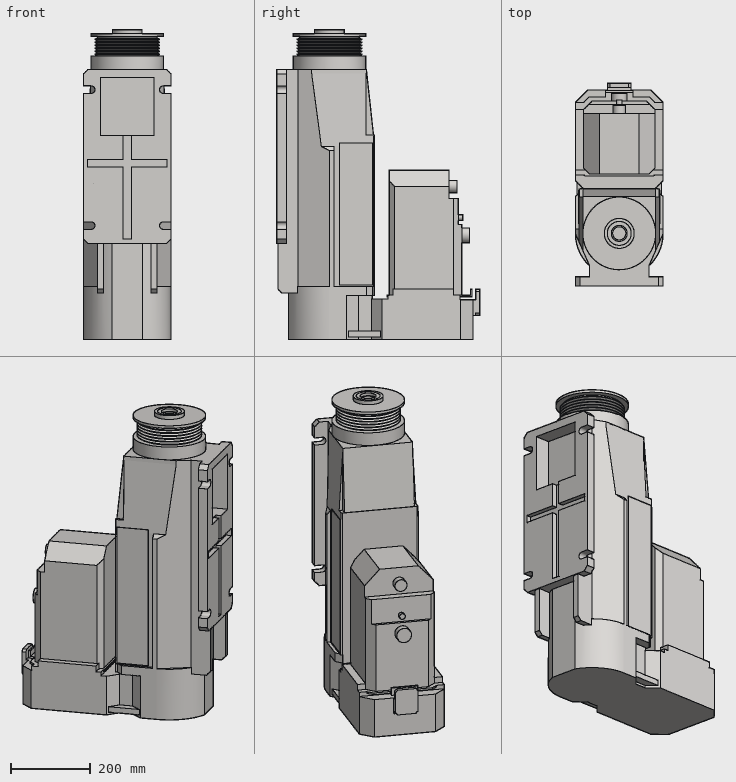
import cadquery as cq
import math


HALF_WIDTH = 110.0
TOTAL_HEIGHT = 775.0

PLATE_FACE_Y = -132.0
PLATE_THICK = 24.0
PLATE_BOTTOM_Z = 240.0
HOUSING_TOP_Z = 676.0
PLATE_CHAMFER = 12.0
PLATE_SLOT_Z = (285.0, 625.0)
PLATE_SLOT_RADIUS = 9.3
PLATE_SLOT_LENGTH = 20.0
POCKET_HALF_WIDTH = 67.0
POCKET_BOTTOM_Z = 510.0
POCKET_TOP_Z = 655.0
POCKET_DEPTH = 44.0
GROOVE_DEPTH = 14.0
UPRIGHT_GROOVE_HALF_WIDTH = 10.5
UPRIGHT_GROOVE_BOTTOM_Z = 252.0
CROSS_GROOVE_HALF_WIDTH = 100.0
CROSS_GROOVE_Z = 440.5
CROSS_GROOVE_HEIGHT = 19.0

NECK_HALF_WIDTH = 75.0
NECK_BACK_Y = -79.0
MOTOR_TOP_Z = 133.0
POST_BACK_Y = 11.5
POST_TOP_Z = 483.0
POST_SHOULDER_Z = 472.5
CORE_HALF_WIDTH = 101.0
CORE_BACK_Y = 112.0
CORE_CHAMFER = 5.0
TOP_HALF_WIDTH = 90.3
TAPER_TOP_Z = 665.0
TOP_BACK_Y = 92.5
BACK_SLOPE_BOTTOM_Y = 110.5
BACK_CUT_FRONT_Y = 91.0
BACK_CUT_BOTTOM_Z = 511.0
PANEL_PROUD = 0.7
PANEL_FRONT_Y = 25.0
PANEL_BOTTOM_Z = 136.0
PANEL_TOP_Z = 492.0

RIB_THICK = 16.0
RIB_FACE_Y = -129.0
RIB_BOTTOM_Z = 116.0
RIB_CHAMFER = 10.0

MOTOR_RADIUS = HALF_WIDTH
MOTOR_FLAT_HALF_WIDTH = 38.7
MOTOR_BACK_Y = 107.0
MOTOR_BACK_CHAMFER = 15.0
NECK_TOP_Z = 110.0
LOWER_BACK_Y = 43.0
LOWER_EDGE_CHAMFER = 4.0
LINK_HALF_WIDTH = 83.0
LINK_FRONT_Y = 72.0
FOOT_HALF_WIDTH = 106.0
FOOT_BOTTOM_Z = 6.5
FOOT_TOP_Z = 21.0

BASE_FRONT_Y = 132.0
BASE_FRONT_CHAMFER = HALF_WIDTH - LINK_HALF_WIDTH
BASE_BACK_Y = 359.0
BASE_BACK_CHAMFER = 31.0
BASE_REAR_TOP_Z = 100.0
BASE_FRONT_TOP_Z = 101.5
STEP_FRONT_Y = 146.0
STEP_BACK_Y = 327.0
STEP_TOP_Z = 111.0
SHOULDER_FRONT_Y = 159.0
SHOULDER_BACK_Y = 310.0
SHOULDER_TOP_Z = 126.0

SKIRT_HALF_WIDTH = 93.0
SKIRT_FRONT_Y = 143.5
SKIRT_BACK_Y = 341.0
SKIRT_FRONT_CHAMFER = 7.0
SKIRT_BACK_CHAMFER = 17.0
SKIRT_THICK = 4.5

CABINET_HALF_WIDTH = 89.0
CABINET_FRONT_Y = 149.0
CABINET_FRONT_CHAMFER = 14.0
CABINET_TOP_Z = 423.5
CABINET_EAVES_Z = 383.0
CABINET_RIDGE_HALF_WIDTH = 50.0
LID_BACK_Y = 299.5
REAR_PANEL_BACK_Y = 322.5
REAR_PANEL_TOP_Z = 353.0
REAR_BOX_BACK_Y = 331.0
REAR_BOX_TOP_Z = 288.0

GLANDS = (
    (15.5, 382.5, LID_BACK_Y, 319.5),
    (7.5, 305.0, REAR_PANEL_BACK_Y, 333.5),
    (19.0, 260.5, REAR_BOX_BACK_Y, 350.5),
)

BRACKET_HALF_WIDTH = 34.0
BRACKET_THICK = SKIRT_THICK
BRACKET_BACK_Y = 357.0
TAG_HALF_WIDTH = 29.5
TAG_FRONT_Y = 365.5
TAG_BACK_Y = 376.0
TAG_BOTTOM_Z = 60.0
TAG_CHAMFER = 6.0

COLLAR_RADIUS = 91.0
COLLAR_TOP_Z = 709.5
SHAFT_RADIUS = 30.0
CENTRE_BORE_RADIUS = 20.0
CENTRE_BORE_DEPTH = 7.0
SHAFT_BORE_RADIUS = 16.5
SHAFT_BORE_DEPTH = 40.0
HUB_RADIUS = 37.5
FLANGE_RADIUS = COLLAR_RADIUS
FLANGE_BOTTOM_Z = 758.0
FLANGE_TOP_Z = 765.0
RIB_COUNT = 6
RIB_PITCH = 7.5
RIB_CREST_RADIUS = 81.0
RIB_ROOT_RADIUS = 75.0
RIB_LAND = 1.0


def box(x0, x1, y0, y1, z0, z1):
    """Box given by its lower and upper limits along each axis."""
    return cq.Workplane("XY").box(x1 - x0, y1 - y0, z1 - z0, centered=False).translate((x0, y0, z0))


def centred_box(half_width, y0, y1, z0, z1):
    """Box symmetric about X = 0."""
    return box(-half_width, half_width, y0, y1, z0, z1)


def mirrored_prism(right_side, z0, z1):
    """Vertical prism from the +X half of its plan outline, mirrored about X = 0."""
    left_side = [(-x, y) for x, y in reversed(right_side)]
    return cq.Workplane("XY").workplane(offset=z0).polyline(right_side + left_side).close().extrude(z1 - z0)


def disc(radius, z0, z1):
    """Upright cylinder on the shaft axis."""
    return cq.Workplane("XY").workplane(offset=z0).circle(radius).extrude(z1 - z0)


def make_plate():
    plate_back_y = PLATE_FACE_Y + PLATE_THICK
    plate = centred_box(HALF_WIDTH, PLATE_FACE_Y, plate_back_y, PLATE_BOTTOM_Z, HOUSING_TOP_Z)
    plate = plate.edges("|Y").chamfer(PLATE_CHAMFER)
    slot_length = 2 * (PLATE_SLOT_LENGTH + PLATE_SLOT_RADIUS)
    for side in (-1, 1):
        for slot_z in PLATE_SLOT_Z:
            slot = (cq.Workplane("XZ", origin=(side * HALF_WIDTH, plate_back_y, slot_z))
                    .slot2D(slot_length, 2 * PLATE_SLOT_RADIUS).extrude(PLATE_THICK))
            plate = plate.cut(slot)
    return plate


def make_plate_recesses():
    """Deep pocket and the cross of shallow grooves in the plate face."""
    groove_back_y = PLATE_FACE_Y + GROOVE_DEPTH
    pocket = centred_box(POCKET_HALF_WIDTH, PLATE_FACE_Y, PLATE_FACE_Y + POCKET_DEPTH,
                         POCKET_BOTTOM_Z, POCKET_TOP_Z)
    upright = centred_box(UPRIGHT_GROOVE_HALF_WIDTH, PLATE_FACE_Y, groove_back_y,
                          UPRIGHT_GROOVE_BOTTOM_Z, POCKET_BOTTOM_Z)
    cross = centred_box(CROSS_GROOVE_HALF_WIDTH, PLATE_FACE_Y, groove_back_y,
                        CROSS_GROOVE_Z - CROSS_GROOVE_HEIGHT / 2, CROSS_GROOVE_Z + CROSS_GROOVE_HEIGHT / 2)
    return pocket.union(upright).union(cross)


def make_housing():
    """Gearbox housing: wide posts below, narrowing sides, cut back corners and sloped back above."""
    posts = mirrored_prism([(NECK_HALF_WIDTH, NECK_BACK_Y), (HALF_WIDTH, 0), (HALF_WIDTH, POST_BACK_Y)],
                           MOTOR_TOP_Z, POST_TOP_Z)
    post_bevel = [(CORE_HALF_WIDTH, POST_TOP_Z), (HALF_WIDTH, POST_TOP_Z), (HALF_WIDTH, POST_SHOULDER_Z)]
    for side in (-1, 1):
        bevel_waste = (cq.Workplane("XZ", origin=(0, POST_BACK_Y, 0))
                       .polyline([(side * x, z) for x, z in post_bevel])
                       .close().extrude(POST_BACK_Y - NECK_BACK_Y))
        posts = posts.cut(bevel_waste)
    core = mirrored_prism(
        [(NECK_HALF_WIDTH, NECK_BACK_Y), (HALF_WIDTH, 0), (HALF_WIDTH, CORE_BACK_Y - CORE_CHAMFER),
         (CORE_HALF_WIDTH - CORE_CHAMFER, CORE_BACK_Y)],
        MOTOR_TOP_Z, HOUSING_TOP_Z)
    taper = [(CORE_HALF_WIDTH, MOTOR_TOP_Z), (CORE_HALF_WIDTH, POST_TOP_Z),
             (TOP_HALF_WIDTH, TAPER_TOP_Z), (TOP_HALF_WIDTH, HOUSING_TOP_Z)]
    taper_outline = taper + [(-x, z) for x, z in reversed(taper)]
    taper_envelope = (cq.Workplane("XZ", origin=(0, CORE_BACK_Y, 0))
                      .polyline(taper_outline).close().extrude(CORE_BACK_Y - NECK_BACK_Y))
    core = core.intersect(taper_envelope)
    slope_waste = (cq.Workplane("YZ", origin=(-HALF_WIDTH, 0, 0))
                   .polyline([(CORE_BACK_Y, BACK_CUT_BOTTOM_Z), (CORE_BACK_Y, HOUSING_TOP_Z),
                              (TOP_BACK_Y, HOUSING_TOP_Z), (BACK_SLOPE_BOTTOM_Y, BACK_CUT_BOTTOM_Z)])
                   .close().extrude(2 * HALF_WIDTH))
    core = core.cut(slope_waste)
    for x0, x1 in ((-HALF_WIDTH, -TOP_HALF_WIDTH), (TOP_HALF_WIDTH, HALF_WIDTH)):
        core = core.cut(box(x0, x1, BACK_CUT_FRONT_Y, CORE_BACK_Y, BACK_CUT_BOTTOM_Z, HOUSING_TOP_Z))
    panels = centred_box(CORE_HALF_WIDTH + PANEL_PROUD, PANEL_FRONT_Y, CORE_BACK_Y - CORE_CHAMFER,
                         PANEL_BOTTOM_Z, PANEL_TOP_Z)
    neck = centred_box(NECK_HALF_WIDTH, PLATE_FACE_Y + PLATE_THICK, NECK_BACK_Y,
                       PLATE_BOTTOM_Z, HOUSING_TOP_Z)
    return core.union(posts).union(panels).union(neck)


def make_rib(side):
    """Upright rib carrying the neck side down below the mounting plate."""
    inner_x = NECK_HALF_WIDTH - RIB_THICK
    rib = box(inner_x, NECK_HALF_WIDTH, RIB_FACE_Y, NECK_BACK_Y, RIB_BOTTOM_Z, PLATE_BOTTOM_Z)
    rib = rib.edges("|X and <Y and <Z").chamfer(RIB_CHAMFER)
    return rib if side > 0 else rib.mirror("YZ")


def make_motor():
    """Round motor front with a flat, reaching up between the ribs, and its square back."""
    flat_y = -math.sqrt(MOTOR_RADIUS ** 2 - MOTOR_FLAT_HALF_WIDTH ** 2)
    round_front = disc(MOTOR_RADIUS, 0, MOTOR_TOP_Z).intersect(
        centred_box(HALF_WIDTH, flat_y, 0, 0, MOTOR_TOP_Z))
    upper_front = disc(MOTOR_RADIUS, MOTOR_TOP_Z, PLATE_BOTTOM_Z)
    upper_front = upper_front.intersect(
        centred_box(NECK_HALF_WIDTH - RIB_THICK, flat_y, 0, MOTOR_TOP_Z, PLATE_BOTTOM_Z))
    lower_back = mirrored_prism(
        [(HALF_WIDTH, 0), (HALF_WIDTH, LOWER_BACK_Y),
         (HALF_WIDTH - LOWER_EDGE_CHAMFER, LOWER_BACK_Y + LOWER_EDGE_CHAMFER),
         (LINK_HALF_WIDTH, LINK_FRONT_Y)],
        0, NECK_TOP_Z)
    upper_back = mirrored_prism(
        [(HALF_WIDTH, 0), (HALF_WIDTH, MOTOR_BACK_Y - MOTOR_BACK_CHAMFER),
         (HALF_WIDTH - MOTOR_BACK_CHAMFER, MOTOR_BACK_Y),
         (HALF_WIDTH - MOTOR_BACK_CHAMFER, CORE_BACK_Y)],
        NECK_TOP_Z, MOTOR_TOP_Z)
    return round_front.union(upper_front).union(lower_back).union(upper_back)


def make_link():
    """Narrow waist between motor and cabinet base, with a flat foot across it."""
    waist = centred_box(LINK_HALF_WIDTH, LINK_FRONT_Y, BASE_FRONT_Y, 0, BASE_FRONT_TOP_Z)
    waist_top = centred_box(LINK_HALF_WIDTH, LINK_FRONT_Y, CORE_BACK_Y - CORE_CHAMFER,
                            BASE_FRONT_TOP_Z, NECK_TOP_Z)
    foot = centred_box(FOOT_HALF_WIDTH, LOWER_BACK_Y + LOWER_EDGE_CHAMFER, BASE_FRONT_Y - LOWER_EDGE_CHAMFER,
                       FOOT_BOTTOM_Z, FOOT_TOP_Z)
    return waist.union(waist_top).union(foot)


def make_base():
    """Cabinet base, stepped up to the full-width shoulder under the cabinet."""
    front_corner = [(LINK_HALF_WIDTH, BASE_FRONT_Y - BASE_FRONT_CHAMFER), (HALF_WIDTH, BASE_FRONT_Y)]
    back_corner = [(HALF_WIDTH, BASE_BACK_Y - BASE_BACK_CHAMFER),
                   (HALF_WIDTH - BASE_BACK_CHAMFER, BASE_BACK_Y)]
    floor = mirrored_prism(front_corner + back_corner, 0, BASE_REAR_TOP_Z)
    front_top = mirrored_prism(front_corner + [(HALF_WIDTH, STEP_BACK_Y)], BASE_REAR_TOP_Z, BASE_FRONT_TOP_Z)
    step = centred_box(HALF_WIDTH, STEP_FRONT_Y, STEP_BACK_Y, BASE_FRONT_TOP_Z, STEP_TOP_Z)
    shoulder = centred_box(HALF_WIDTH, SHOULDER_FRONT_Y, SHOULDER_BACK_Y, STEP_TOP_Z, SHOULDER_TOP_Z)
    return floor.union(front_top).union(step).union(shoulder)


def make_rear_box(back_y, top_z):
    """Rear extension of the cabinet whose corners are bevelled at 45 degrees."""
    bevel = back_y - SHOULDER_BACK_Y
    return mirrored_prism(
        [(CABINET_HALF_WIDTH, LID_BACK_Y), (CABINET_HALF_WIDTH, SHOULDER_BACK_Y),
         (CABINET_HALF_WIDTH - bevel, back_y)],
        STEP_TOP_Z, top_z)


def make_cabinet():
    tower = mirrored_prism(
        [(CABINET_HALF_WIDTH - CABINET_FRONT_CHAMFER, CABINET_FRONT_Y),
         (CABINET_HALF_WIDTH, CABINET_FRONT_Y + CABINET_FRONT_CHAMFER),
         (CABINET_HALF_WIDTH, LID_BACK_Y)],
        BASE_FRONT_TOP_Z, CABINET_TOP_Z)
    roof = [(CABINET_HALF_WIDTH, BASE_FRONT_TOP_Z), (CABINET_HALF_WIDTH, CABINET_EAVES_Z),
            (CABINET_RIDGE_HALF_WIDTH, CABINET_TOP_Z)]
    roof_outline = roof + [(-x, z) for x, z in reversed(roof)]
    roof_envelope = (cq.Workplane("XZ", origin=(0, LID_BACK_Y, 0))
                     .polyline(roof_outline).close().extrude(LID_BACK_Y - CABINET_FRONT_Y))
    cabinet = tower.intersect(roof_envelope)
    cabinet = cabinet.union(make_rear_box(REAR_PANEL_BACK_Y, REAR_PANEL_TOP_Z))
    cabinet = cabinet.union(make_rear_box(REAR_BOX_BACK_Y, REAR_BOX_TOP_Z))
    for radius, centre_z, wall_y, end_y in GLANDS:
        gland = cq.Workplane("XZ", origin=(0, end_y, centre_z)).circle(radius).extrude(end_y - wall_y)
        cabinet = cabinet.union(gland)
    return cabinet


def make_skirt():
    """Thin plate under the cabinet that shows beyond the step at its front and back."""
    return mirrored_prism(
        [(SKIRT_HALF_WIDTH - SKIRT_FRONT_CHAMFER, SKIRT_FRONT_Y),
         (SKIRT_HALF_WIDTH, SKIRT_FRONT_Y + SKIRT_FRONT_CHAMFER),
         (SKIRT_HALF_WIDTH, SKIRT_BACK_Y - SKIRT_BACK_CHAMFER),
         (SKIRT_HALF_WIDTH - SKIRT_BACK_CHAMFER, SKIRT_BACK_Y)],
        STEP_TOP_Z - SKIRT_THICK, STEP_TOP_Z)


def make_bracket():
    """Angle bracket standing out from the skirt behind the cabinet."""
    shelf = centred_box(BRACKET_HALF_WIDTH, STEP_BACK_Y, BRACKET_BACK_Y,
                        STEP_TOP_Z - BRACKET_THICK, STEP_TOP_Z)
    upright = centred_box(BRACKET_HALF_WIDTH, BRACKET_BACK_Y - BRACKET_THICK, BRACKET_BACK_Y,
                          STEP_TOP_Z, SHOULDER_TOP_Z)
    return shelf.union(upright)


def make_tag():
    """Corner-cut plate held off the base back by a spacer."""
    tag = centred_box(TAG_HALF_WIDTH, TAG_FRONT_Y, TAG_BACK_Y, TAG_BOTTOM_Z, SHOULDER_TOP_Z)
    tag = tag.edges("|Y").chamfer(TAG_CHAMFER)
    spacer = centred_box(TAG_HALF_WIDTH, BASE_BACK_Y, TAG_FRONT_Y, TAG_BOTTOM_Z, BASE_REAR_TOP_Z)
    return tag.union(spacer)


def make_shaft():
    """Bearing collar and the stepped-bore shaft end that carries the pulley."""
    shaft = disc(COLLAR_RADIUS, HOUSING_TOP_Z, COLLAR_TOP_Z).union(
        disc(SHAFT_RADIUS, COLLAR_TOP_Z, TOTAL_HEIGHT))
    shaft = shaft.cut(disc(CENTRE_BORE_RADIUS, TOTAL_HEIGHT - CENTRE_BORE_DEPTH, TOTAL_HEIGHT))
    return shaft.cut(disc(SHAFT_BORE_RADIUS, TOTAL_HEIGHT - SHAFT_BORE_DEPTH, TOTAL_HEIGHT))


def make_drive_unit():
    unit = make_housing().union(make_plate()).cut(make_plate_recesses())
    unit = unit.union(make_motor()).union(make_link()).union(make_base())
    for side in (-1, 1):
        unit = unit.union(make_rib(side))
    unit = unit.union(make_skirt()).union(make_cabinet()).union(make_bracket()).union(make_tag())
    return unit.union(make_shaft())


def make_pulley():
    """Ribbed belt pulley with a top flange and hub, bored to fit the shaft."""
    profile = [(SHAFT_RADIUS, COLLAR_TOP_Z), (RIB_ROOT_RADIUS, COLLAR_TOP_Z)]
    for rib in range(RIB_COUNT):
        crest_z = COLLAR_TOP_Z + (rib + 0.5) * RIB_PITCH
        profile += [(RIB_CREST_RADIUS, crest_z - RIB_LAND / 2),
                    (RIB_CREST_RADIUS, crest_z + RIB_LAND / 2),
                    (RIB_ROOT_RADIUS, crest_z + RIB_PITCH / 2)]
    profile += [(RIB_ROOT_RADIUS, FLANGE_BOTTOM_Z),
                (FLANGE_RADIUS, FLANGE_BOTTOM_Z), (FLANGE_RADIUS, FLANGE_TOP_Z),
                (HUB_RADIUS, FLANGE_TOP_Z), (HUB_RADIUS, TOTAL_HEIGHT), (SHAFT_RADIUS, TOTAL_HEIGHT)]
    return cq.Workplane("XZ").polyline(profile).close().revolve(360, (0, 0, 0), (0, 1, 0))


drive_unit = make_drive_unit()
pulley = make_pulley()

result = cq.Compound.makeCompound([drive_unit.solids().val(), pulley.val()])